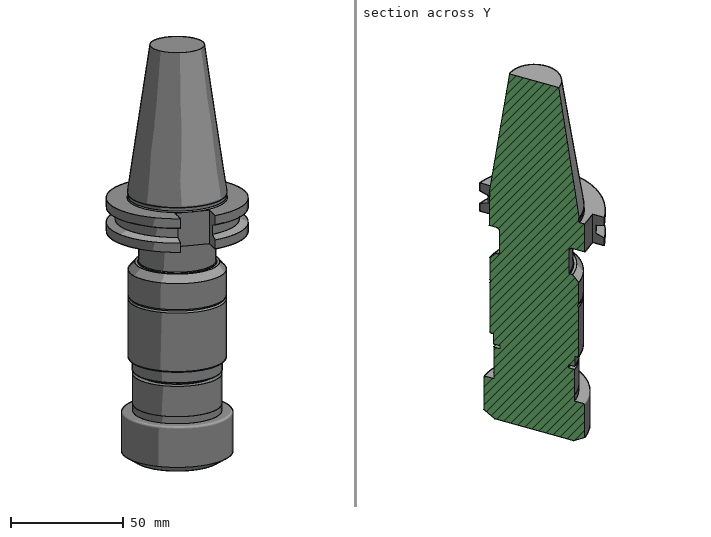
import cadquery as cq

taper_length = 68.4
total_length = 193.55
z_bottom = taper_length - total_length

gauge_diameter = 44.45
taper_ratio = 7 / 24
taper_tip_diameter = gauge_diameter - taper_length * taper_ratio
z_taper_end = -0.4
taper_end_diameter = gauge_diameter - z_taper_end * taper_ratio
z_land_bottom = -0.9
relief_diameter = 44.03
relief_chamfer = (taper_end_diameter - relief_diameter) / 2
relief_root_height = 0.6
relief_root_width = 0.4

flange_diameter = 63.5
z_flange_top = -3.2
z_flange_bottom = -18.9
z_v_groove_center = -11.1
v_groove_opening = 7.0
v_groove_floor_diameter = 55.6
v_groove_floor_width = 4.2

slot_width = 16.1
slot_floor_left = 25.0
slot_floor_right = 22.25

neck_diameter = 34.6
neck_top_chamfer = 1.0
neck_bottom_chamfer = 0.4

sleeve_diameter = 44.0
z_sleeve_top = -33.1
z_sleeve_bottom = -78.3
shoulder_top_diameter = 38.0
shoulder_height = 3.5
sleeve_edge_chamfer = 0.6
z_ring_groove_center = -49.6
ring_groove_width = 1.6
ring_groove_depth = 0.6

collar_diameter = 40.39
collar_chamfer = 0.4
undercut_diameter = 33.92
z_undercut_top = -83.9
z_undercut_bottom = -85.3
collet_body_diameter = 40.01
z_collet_body_bottom = -99.5
collet_root_diameter = 39.88

nut_diameter = 50.0
z_nut_top = -102.8
nut_top_fillet = 1.0
nut_bottom_diameter = 39.0
nut_bottom_chamfer_height = 3.5


def revolve_profile(points):
    """Revolve (diameter, z) points, closed along the Z axis, into a solid."""
    outline = [(0, points[0][1])]
    outline += [(diameter / 2, z) for diameter, z in points]
    outline.append((0, points[-1][1]))
    return cq.Workplane("XZ").polyline(outline).close().revolve(360, (0, 0), (0, 1))


def make_shank():
    return revolve_profile([
        (taper_tip_diameter, taper_length),
        (taper_end_diameter, z_taper_end),
        (taper_end_diameter, z_land_bottom),
        (relief_diameter, z_land_bottom - relief_chamfer),
        (relief_diameter, z_flange_top + relief_root_height),
        (relief_diameter + 2 * relief_root_width, z_flange_top),
    ])


def make_flange():
    half_opening = v_groove_opening / 2
    half_floor = v_groove_floor_width / 2
    flange = revolve_profile([
        (flange_diameter, z_flange_top),
        (flange_diameter, z_v_groove_center + half_opening),
        (v_groove_floor_diameter, z_v_groove_center + half_floor),
        (v_groove_floor_diameter, z_v_groove_center - half_floor),
        (flange_diameter, z_v_groove_center - half_opening),
        (flange_diameter, z_flange_bottom),
    ])
    slot_length = flange_diameter / 2
    slot_height = z_flange_top - z_flange_bottom
    slot_center_z = (z_flange_top + z_flange_bottom) / 2
    for side, floor in ((-1, slot_floor_left), (1, slot_floor_right)):
        slot_center_x = side * (floor + slot_length / 2)
        slot = cq.Workplane("XY").box(slot_length, slot_width, slot_height)
        flange = flange.cut(slot.translate((slot_center_x, 0, slot_center_z)))
    return flange


def make_neck():
    return revolve_profile([
        (neck_diameter + 2 * neck_top_chamfer, z_flange_bottom),
        (neck_diameter, z_flange_bottom - neck_top_chamfer),
        (neck_diameter, z_sleeve_top + neck_bottom_chamfer),
        (neck_diameter + 2 * neck_bottom_chamfer, z_sleeve_top),
    ])


def make_sleeve():
    half_groove = ring_groove_width / 2
    return revolve_profile([
        (shoulder_top_diameter, z_sleeve_top),
        (sleeve_diameter, z_sleeve_top - shoulder_height),
        (sleeve_diameter, z_ring_groove_center + half_groove),
        (sleeve_diameter - 2 * ring_groove_depth, z_ring_groove_center),
        (sleeve_diameter, z_ring_groove_center - half_groove),
        (sleeve_diameter, z_sleeve_bottom + sleeve_edge_chamfer),
        (sleeve_diameter - 2 * sleeve_edge_chamfer, z_sleeve_bottom),
    ])


def make_collet_body():
    return revolve_profile([
        (collar_diameter, z_sleeve_bottom),
        (collar_diameter, z_undercut_top + collar_chamfer),
        (collar_diameter - 2 * collar_chamfer, z_undercut_top),
        (undercut_diameter, z_undercut_top),
        (undercut_diameter, z_undercut_bottom),
        (collet_body_diameter, z_undercut_bottom),
        (collet_body_diameter, z_collet_body_bottom),
        (collet_root_diameter, z_collet_body_bottom),
        (collet_root_diameter, z_nut_top),
    ])


def make_nut():
    nut = revolve_profile([
        (nut_diameter, z_nut_top),
        (nut_diameter, z_bottom + nut_bottom_chamfer_height),
        (nut_bottom_diameter, z_bottom),
    ])
    return nut.faces(">Z").edges().fillet(nut_top_fillet)


result = make_shank()
for section in (make_flange(), make_neck(), make_sleeve(), make_collet_body(), make_nut()):
    result = result.union(section)